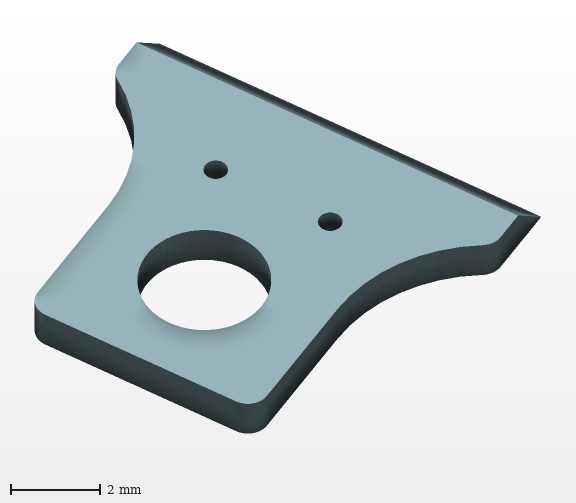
import cadquery as cq

blade_width = 10.0
length = 9.04
thickness = 1.0
neck_width = 6.0
shoulder_start = 3.54
shoulder_radius = 4.0
corner_radius = 0.5
bevel = thickness

main_hole_diameter = 3.0
main_hole_y = 2.74
pin_hole_diameter = 0.55
pin_hole_spacing = 3.0
pin_hole_y = 5.7

half_blade = blade_width / 2
half_neck = neck_width / 2

arc_center_x = half_neck + shoulder_radius


def shoulder_y(x):
    """Y of the shoulder arc at distance x from the centre line."""
    return shoulder_start + (shoulder_radius**2 - (arc_center_x - x)**2) ** 0.5


blade_corner_y = shoulder_y(half_blade)
mid_x = (half_neck + half_blade) / 2
mid_y = shoulder_y(mid_x)

plate = (
    cq.Workplane("XY")
    .moveTo(-half_neck, 0)
    .lineTo(half_neck, 0)
    .lineTo(half_neck, shoulder_start)
    .threePointArc((mid_x, mid_y), (half_blade, blade_corner_y))
    .lineTo(half_blade, length)
    .lineTo(-half_blade, length)
    .lineTo(-half_blade, blade_corner_y)
    .threePointArc((-mid_x, mid_y), (-half_neck, shoulder_start))
    .close()
    .extrude(thickness)
)

rounded_corners = [
    (side * x, y, thickness / 2)
    for side in (-1, 1)
    for x, y in ((half_neck, 0), (half_blade, blade_corner_y))
]
for corner in rounded_corners:
    plate = plate.edges(cq.selectors.NearestToPointSelector(corner)).fillet(corner_radius)

bevel_cut = (
    cq.Workplane("YZ")
    .polyline([(length, 0), (length, thickness), (length - bevel, thickness)])
    .close()
    .extrude(half_blade, both=True)
)
plate = plate.cut(bevel_cut)


def through_holes(points, diameter):
    """Vertical cylinders through the plate at the given points."""
    return cq.Workplane("XY").pushPoints(points).circle(diameter / 2).extrude(thickness)


pin_points = [(side * pin_hole_spacing / 2, pin_hole_y) for side in (-1, 1)]
plate = plate.cut(through_holes([(0, main_hole_y)], main_hole_diameter))
result = plate.cut(through_holes(pin_points, pin_hole_diameter))